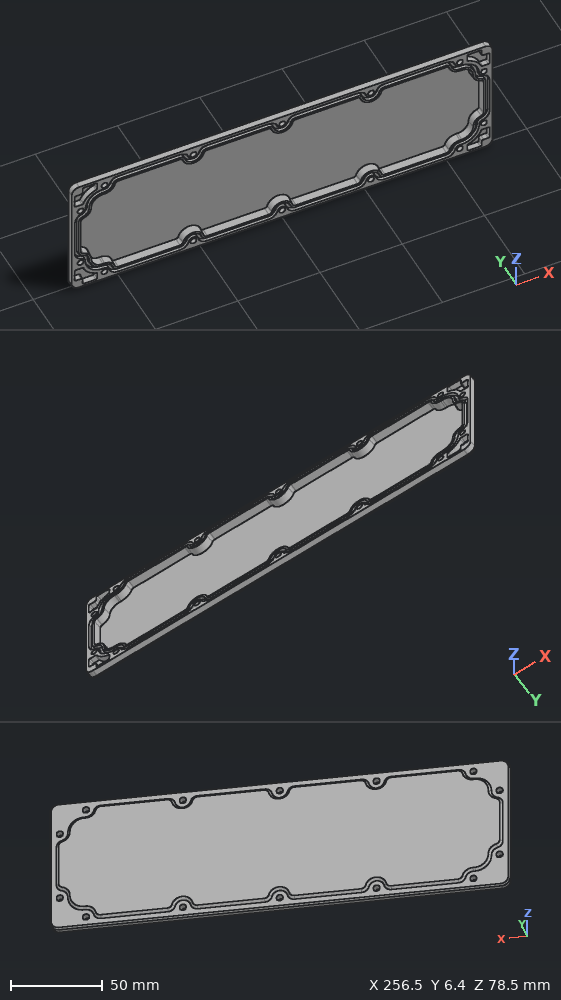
import cadquery as cq
import math

length = 256.49
height = 78.49
total_depth = 6.4
flange_depth = 4.9
corner_radius = 4.8
draft_angle = 5.0
parting_depth = 3.7
edge_slope = 35.0

hole_diameter = 3.6
edge_hole_count = 5
edge_hole_pitch = 54.0
edge_hole_z = 33.5
end_hole_x = 122.6
end_hole_z = 20.0

groove_inset_x = 2.2
groove_inset_z = 2.3
boss_radius = 2.9
blend_radius = 5.7
groove_width = 2.3
groove_depth = 2.0
rib_width = 1.35
floor_thickness = 1.4
pad_base_offset = 1.55

corner_pocket_inset = 2.05
corner_post_x = 6.9
corner_post_z = 6.5
corner_pocket_wall = 2.3
edge_hole_clearance = 4.5
end_hole_clearance = 4.6
corner_pocket_fillet = 1.0

last_hole_x = (edge_hole_count - 1) / 2 * edge_hole_pitch
edge_hole_xs = [edge_hole_pitch * i - last_hole_x for i in range(edge_hole_count)]
pocket_depth = total_depth - floor_thickness
corner_pocket_depth = flange_depth - floor_thickness
pocket_offset = groove_width + rib_width
corner_arc_radius = edge_hole_z - boss_radius - end_hole_z
corner_arc_x = end_hole_x - boss_radius - corner_arc_radius


def hole_places():
    """Every hole as (x, z, direction outwards to the nearest side in degrees about Y)."""
    places = []
    for x in edge_hole_xs:
        places.append((x, edge_hole_z, 0))
        places.append((x, -edge_hole_z, 180))
    for z in (end_hole_z, -end_hole_z):
        places.append((end_hole_x, z, 90))
        places.append((-end_hole_x, z, -90))
    return places


def at_four_corners(shape):
    """The shape and its mirror images in X and Z, as one object."""
    pair = shape.union(shape.mirror("YZ"))
    return pair.union(pair.mirror("XY"))


def boss_prism(offset, depth, side_distance):
    """Round boss about a hole, blended into a straight side that lies in +Z."""
    radius = boss_radius + offset
    blend = blend_radius - offset
    side = side_distance - offset
    outside = side_distance + boss_radius
    blend_drop = blend - side
    span = math.sqrt((radius + blend) ** 2 - blend_drop**2)
    share = radius / (radius + blend)
    joint = (span * share, -blend_drop * share)
    mid_angle = (math.pi / 2 + math.atan2(blend_drop, -span)) / 2
    mid = (span + blend * math.cos(mid_angle), -blend_drop + blend * math.sin(mid_angle))
    return (
        cq.Workplane("XZ")
        .moveTo(span, side)
        .threePointArc(mid, joint)
        .threePointArc((0, -radius), (-joint[0], joint[1]))
        .threePointArc((-mid[0], mid[1]), (-span, side))
        .lineTo(-span, outside)
        .lineTo(span, outside)
        .close()
        .extrude(-depth)
    )


def corner_prism(offset, depth):
    """Corner beyond the arc that joins the last edge hole's boss to the end hole's boss."""
    arc_radius = corner_arc_radius - offset
    reach = arc_radius * math.sqrt(0.5)
    top = end_hole_z + arc_radius
    return (
        cq.Workplane("XZ")
        .moveTo(last_hole_x, height / 2)
        .lineTo(last_hole_x, top)
        .lineTo(corner_arc_x, top)
        .threePointArc(
            (corner_arc_x + reach, end_hole_z + reach),
            (corner_arc_x + arc_radius, end_hole_z),
        )
        .lineTo(length / 2, end_hole_z)
        .lineTo(length / 2, height / 2)
        .close()
        .extrude(-depth)
    )


def scalloped_prism(offset, start, end):
    """Prism from Y = start to Y = end inside the groove's outer wall, moved inwards by offset."""
    depth = end - start
    side_x = length / 2 - groove_inset_x
    side_z = height / 2 - groove_inset_z
    prism = cq.Workplane("XZ").rect(2 * (side_x - offset), 2 * (side_z - offset)).extrude(-depth)
    for x, z, direction in hole_places():
        on_end = abs(direction) == 90
        side_distance = side_x - end_hole_x if on_end else side_z - edge_hole_z
        boss = boss_prism(offset, depth, side_distance)
        prism = prism.cut(boss.rotate((0, 0, 0), (0, 1, 0), direction).translate((x, 0, z)))
    prism = prism.cut(at_four_corners(corner_prism(offset, depth)))
    return prism.translate((0, start, 0))


def drafted(prism, depth, angle):
    """Solid from the prism's face at Y = 0 that narrows by the angle as it goes deeper."""
    rim = prism.faces("<Y").wires().toPending().workplane()
    return rim.extrude(-depth, combine=False, taper=angle)


def flange():
    """Plate with rounded corners, widest at the parting plane and narrowing to both faces."""
    outline = cq.Sketch().rect(length, height).vertices().fillet(corner_radius)
    parting = cq.Workplane("XZ", origin=(0, parting_depth, 0))
    inner_part = parting.placeSketch(outline).extrude(parting_depth, taper=draft_angle)
    outer_part = parting.placeSketch(outline).extrude(parting_depth - flange_depth, taper=edge_slope)
    return inner_part.union(outer_part)


def outer_pad():
    """Raised pad with sloping sides on the outer face, backing the pocket."""
    pad = scalloped_prism(pad_base_offset, parting_depth, total_depth)
    return pad.faces(">Y").edges().chamfer(total_depth - flange_depth)


def pocket():
    """Main pocket in the inner face."""
    return drafted(scalloped_prism(pocket_offset, 0, pocket_depth), pocket_depth, draft_angle)


def sealing_groove():
    """Groove with drafted walls that runs around the pocket, inside the holes."""
    outer = drafted(scalloped_prism(0, 0, groove_depth), groove_depth, draft_angle)
    rib = drafted(scalloped_prism(groove_width, 0, groove_depth), groove_depth, -draft_angle)
    return outer.cut(rib)


def corner_pockets():
    """Pockets outside the groove's corner arcs, each leaving a post at the plate's corner."""
    right = length / 2 - corner_pocket_inset
    top = height / 2 - corner_pocket_inset
    left = last_hole_x + edge_hole_clearance
    bottom = end_hole_z + end_hole_clearance
    outline = (
        cq.Workplane("XZ")
        .moveTo(left, bottom)
        .lineTo(right, bottom)
        .lineTo(right, height / 2 - corner_post_z)
        .lineTo(length / 2 - corner_post_x, height / 2 - corner_post_z)
        .lineTo(length / 2 - corner_post_x, top)
        .lineTo(left, top)
        .close()
        .extrude(-corner_pocket_depth)
    )
    wall = (
        cq.Workplane("XZ")
        .center(corner_arc_x, end_hole_z)
        .circle(corner_arc_radius + corner_pocket_wall)
        .extrude(-corner_pocket_depth)
    )
    outline = outline.cut(wall).edges("|Y").fillet(corner_pocket_fillet)
    return at_four_corners(drafted(outline, corner_pocket_depth, draft_angle))


def screw_holes():
    """Through holes along all four sides."""
    points = [(x, z) for x, z, _ in hole_places()]
    return cq.Workplane("XZ").pushPoints(points).circle(hole_diameter / 2).extrude(-total_depth)


result = flange().union(outer_pad())
result = result.cut(pocket())
result = result.cut(sealing_groove())
result = result.cut(corner_pockets())
result = result.cut(screw_holes())